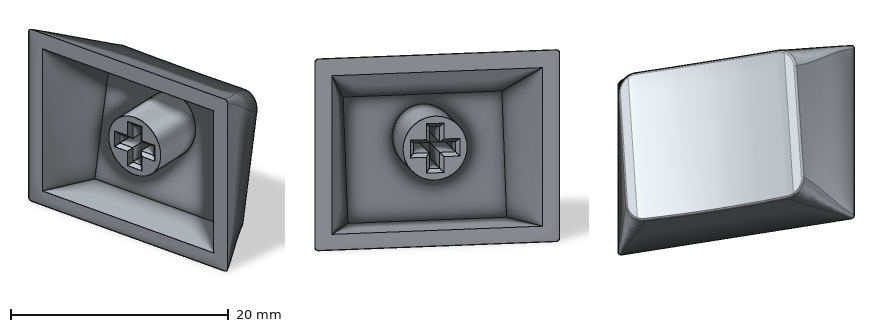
import cadquery as cq
import math

width = 22.95
height = 18.0
depth = 8.6
base_y = -depth / 2
base_corner_radius = 0.37

crown_half_width = 8.58
crown_corner_radius = 1.75
crown_top_z = 4.9
crown_bottom_z = -height / 2
crown_top_depth = 8.68
crown_slope = 0.2
crown_tilt = math.atan(crown_slope)
crown_bottom_depth = crown_top_depth - crown_slope * (crown_top_z - crown_bottom_z)
dish_sag = 0.37
dish_half_chord = 7.57
crown_edge_radius = 0.23
section_count = 5

opening_half_width = 9.87
opening_top_z = 7.37
cavity_bottom_z = -7.5
floor_half_width = 7.44
floor_top_z = 3.88
floor_bottom_depth = 4.77
floor_top_depth = floor_bottom_depth + crown_slope * (floor_top_z - cavity_bottom_z)

stem_diameter = 6.0
stem_recess = 1.0
cross_length = 4.64
cross_arm_width = 1.65
cross_chamfer = 0.35
chamfer_angle = 45


def blend(start, end, fraction):
    return start + (end - start) * fraction


def outer_section(fraction):
    """Rounded rectangle across the shell: 0 is the base, 1 the crown."""
    half_width = blend(width / 2, crown_half_width, fraction)
    top_z = blend(height / 2, crown_top_z, fraction)
    bottom_z = blend(-height / 2, crown_bottom_z, fraction)
    top_y = base_y + crown_top_depth * fraction
    bottom_y = base_y + crown_bottom_depth * fraction
    tilt = math.atan2(top_y - bottom_y, top_z - bottom_z)
    ease = fraction**2 * (3 - 2 * fraction)
    radius = blend(base_corner_radius, crown_corner_radius, ease)
    plane = cq.Plane(
        origin=(0, (top_y + bottom_y) / 2, (top_z + bottom_z) / 2),
        xDir=(1, 0, 0),
        normal=(0, -math.cos(tilt), math.sin(tilt)),
    )
    section_height = math.hypot(top_z - bottom_z, top_y - bottom_y)
    outline = cq.Sketch().rect(2 * half_width, section_height).vertices().fillet(radius)
    return outline.reset().faces().val().outerWire().moved(plane.location)


def make_shell():
    sections = [outer_section(i / (section_count - 1)) for i in range(section_count)]
    return cq.Workplane(cq.Solid.makeLoft(sections))


def make_dish():
    """Large cylinder whose axis follows the tilt of the crown."""
    radius = (dish_half_chord**2 + dish_sag**2) / (2 * dish_sag)
    along_crown = cq.Vector(0, math.sin(crown_tilt), math.cos(crown_tilt))
    outward = cq.Vector(0, math.cos(crown_tilt), -math.sin(crown_tilt))
    crown_top = cq.Vector(0, base_y + crown_top_depth, crown_top_z)
    start = crown_top + outward * (radius - dish_sag) - along_crown * (2 * height)
    return cq.Workplane(cq.Solid.makeCylinder(radius, 4 * height, start, along_crown))


def cavity_section(half_width, top_z, top_depth, bottom_depth):
    corners = [
        cq.Vector(-half_width, base_y + bottom_depth, cavity_bottom_z),
        cq.Vector(half_width, base_y + bottom_depth, cavity_bottom_z),
        cq.Vector(half_width, base_y + top_depth, top_z),
        cq.Vector(-half_width, base_y + top_depth, top_z),
    ]
    return cq.Wire.makePolygon(corners, close=True)


def make_cavity():
    opening = cavity_section(opening_half_width, opening_top_z, 0, 0)
    floor = cavity_section(floor_half_width, floor_top_z, floor_top_depth, floor_bottom_depth)
    return cq.Workplane(cq.Solid.makeLoft([opening, floor], True))


def cross_arms(length, arm_width, taper_depth=None):
    """Cross cut into the stem face, narrowing over taper_depth if given."""
    face = cq.Workplane("XZ", origin=(0, base_y + stem_recess, 0))
    arms = []
    for size in ((length, arm_width), (arm_width, length)):
        profile = face.rect(*size)
        if taper_depth:
            arms.append(profile.extrude(-taper_depth, taper=chamfer_angle))
        else:
            arms.append(profile.extrude(-depth))
    return arms[0].union(arms[1])


def make_stem():
    return (
        cq.Workplane("XZ", origin=(0, base_y + stem_recess, 0))
        .circle(stem_diameter / 2)
        .extrude(-depth)
    )


socket = cross_arms(cross_length - 2 * cross_chamfer, cross_arm_width - 2 * cross_chamfer)
socket = socket.union(cross_arms(cross_length, cross_arm_width, cross_chamfer))
hollow = make_cavity().cut(make_stem().cut(socket))
body = make_shell().cut(make_dish())
body = body.faces("%CYLINDER").edges().fillet(crown_edge_radius)
result = body.cut(hollow)